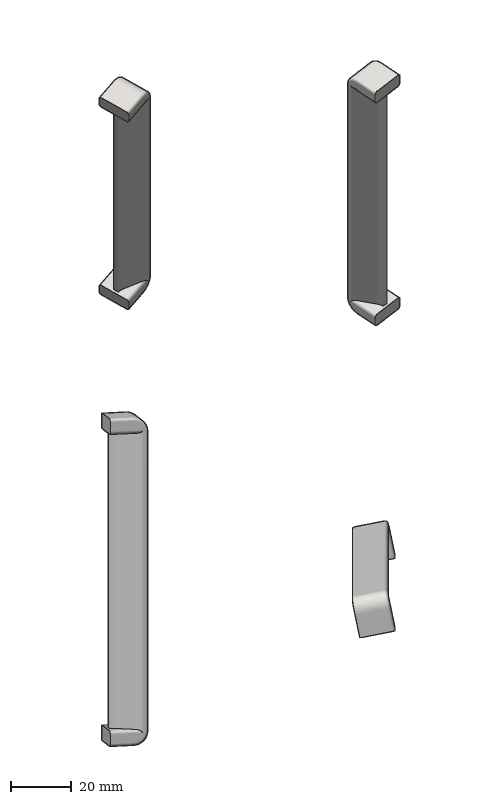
import cadquery as cq
import math

width = 12.0
depth = 13.0
length = 110.0

leg_thickness = 5.3
elbow_radius = 5.0
edge_radius = 1.0
inner_edge_radius = 1.1

grip_depth = 12.0
side_depth = 2.1
taper_angle = math.radians(29)
taper_end_depth = 9.7
nose_half_width = 1.0
nose_edge_radius = 0.2

half_width = width / 2
half_length = length / 2
taper_end_x = half_width - (taper_end_depth - side_depth) * math.tan(taper_angle)


def make_envelope():
    """Block with two rounded elbows and softened outer side edges."""
    block = cq.Workplane("XY").box(width, depth, length).translate((0, depth / 2, 0))
    block = block.edges(">Y and |X").fillet(elbow_radius)
    return block.faces(">Y").edges("|Z").fillet(edge_radius)


def make_leg(side):
    """Leg at the top (side = 1) or bottom (side = -1), rounded on its long edges."""
    center_z = side * (half_length - leg_thickness / 2)
    leg = cq.Workplane("XY").box(width, depth, leg_thickness)
    outer, inner = (">Z", "<Z") if side > 0 else ("<Z", ">Z")
    leg = leg.faces(outer).edges("|Y").fillet(edge_radius)
    leg = leg.faces(inner).edges("|Y").fillet(inner_edge_radius)
    return leg.translate((0, depth / 2, center_z))


def make_grip():
    """Tapered bar with hollow flanks and a narrow flat nose, running into both legs."""
    y_side = depth - side_depth
    y_taper = depth - taper_end_depth
    y_nose = depth - grip_depth
    run = taper_end_x - nose_half_width
    drop = y_taper - y_nose
    sag_ratio = math.tan((taper_angle - math.atan2(run, drop)) / 2) / 2
    flank_mid_x = (taper_end_x + nose_half_width) / 2 - sag_ratio * drop
    flank_mid_y = (y_taper + y_nose) / 2 + sag_ratio * run
    grip_length = length - 2 * (leg_thickness - inner_edge_radius)
    bar = (
        cq.Workplane("XY")
        .moveTo(-half_width, depth)
        .lineTo(-half_width, y_side)
        .lineTo(-taper_end_x, y_taper)
        .threePointArc((-flank_mid_x, flank_mid_y), (-nose_half_width, y_nose))
        .lineTo(nose_half_width, y_nose)
        .threePointArc((flank_mid_x, flank_mid_y), (taper_end_x, y_taper))
        .lineTo(half_width, y_side)
        .lineTo(half_width, depth)
        .close()
        .extrude(grip_length)
        .translate((0, 0, -grip_length / 2))
    )
    bar = bar.faces("<Y").edges("|Z").fillet(nose_edge_radius)
    return bar.edges("|Z and (<X or >X)").fillet(edge_radius)


legs = make_leg(1).union(make_leg(-1))
result = make_envelope().intersect(make_grip().union(legs))